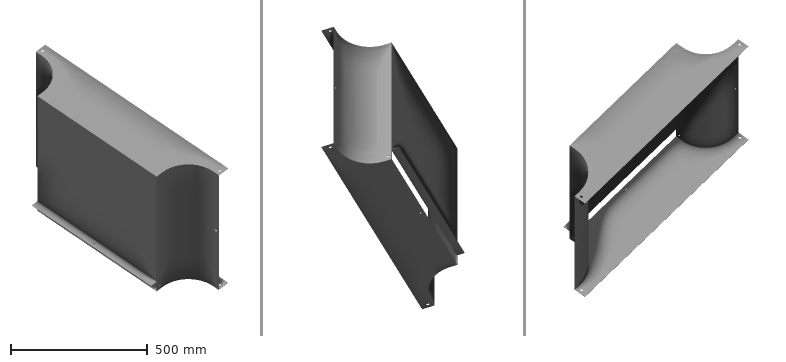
import cadquery as cq
import math

length = 920.0
depth = 240.0
height = 600.0
sheet = 1.5

lip_depth = 29.0
wing_width = 28.5
wing_setback = 50.0
corner_radius = 132.0
opening_height = 49.0

slot_width = 7.0
plate_slot_length = 11.0
wall_slot_length = 9.0
pin_diameter = 5.0
slot_from_end = 15.0
plate_slot_from_back = 29.0
front_hole_setback = 16.0
side_slot_height = 20.0

half_length = length / 2
front_y = lip_depth - depth
wing_y = -wing_setback
half_front = half_length - wing_width - corner_radius
corner_end_y = wing_y - corner_radius
lip_center_y = front_y - lip_depth / 2


def channel_outline(offset):
    """Closed plan outline with its front and corner faces moved inwards by offset."""
    edge_y = wing_y + offset
    side_x = half_front - offset
    radius = corner_radius + offset
    tangent_x = side_x + radius
    mid_x = tangent_x - radius * math.sin(math.pi / 4)
    mid_y = corner_end_y + radius * math.sin(math.pi / 4)
    return (
        cq.Workplane("XY")
        .moveTo(-half_length, 0)
        .lineTo(-half_length, edge_y)
        .lineTo(-tangent_x, edge_y)
        .threePointArc((-mid_x, mid_y), (-side_x, corner_end_y))
        .lineTo(-side_x, front_y + offset)
        .lineTo(side_x, front_y + offset)
        .lineTo(side_x, corner_end_y)
        .threePointArc((mid_x, mid_y), (tangent_x, edge_y))
        .lineTo(half_length, edge_y)
        .lineTo(half_length, 0)
        .close()
    )


def make_shell():
    """Top and bottom plates joined by the bent wall; open at the back and the ends."""
    cavity = channel_outline(sheet).extrude(height - 2 * sheet).translate((0, 0, sheet))
    return channel_outline(0).extrude(height).cut(cavity)


def make_front_opening():
    """Gap in the front panel, between the side walls and above the bottom plate."""
    return cq.Workplane("XY").box(
        2 * (half_front - sheet), 2 * sheet, opening_height - sheet, centered=(True, True, False)
    ).translate((0, front_y, sheet))


def make_lip():
    """Flange bent forwards from the bottom edge of the front panel."""
    return cq.Workplane("XY").box(
        2 * half_front, lip_depth + sheet, sheet, centered=(True, False, False)
    ).translate((0, front_y - lip_depth, opening_height))


def make_plate_slots():
    """Slots along Y through both plates near their ends."""
    x = half_length - slot_from_end
    return (
        cq.Workplane("XY")
        .pushPoints([(-x, -plate_slot_from_back), (x, -plate_slot_from_back)])
        .slot2D(plate_slot_length, slot_width, 90)
        .extrude(height)
    )


def make_wing_slots():
    """Upright slots at mid height of the end flanges."""
    x = half_length - slot_from_end
    return (
        cq.Workplane("XZ")
        .pushPoints([(-x, height / 2), (x, height / 2)])
        .slot2D(wall_slot_length, slot_width, 90)
        .extrude(depth)
    )


def make_side_slots():
    """Slots along Y through both side walls, beside the front opening."""
    return (
        cq.Workplane("YZ")
        .center(front_y + front_hole_setback, side_slot_height)
        .slot2D(wall_slot_length, slot_width)
        .extrude(half_length, both=True)
    )


def make_pin_holes():
    """Round holes at mid length, in the lip and in the bottom plate behind it."""
    return (
        cq.Workplane("XY")
        .pushPoints([(0, lip_center_y), (0, front_y + front_hole_setback)])
        .circle(pin_diameter / 2)
        .extrude(height / 2)
    )


result = make_shell().cut(make_front_opening()).union(make_lip())
for holes in (make_plate_slots(), make_wing_slots(), make_side_slots(), make_pin_holes()):
    result = result.cut(holes)